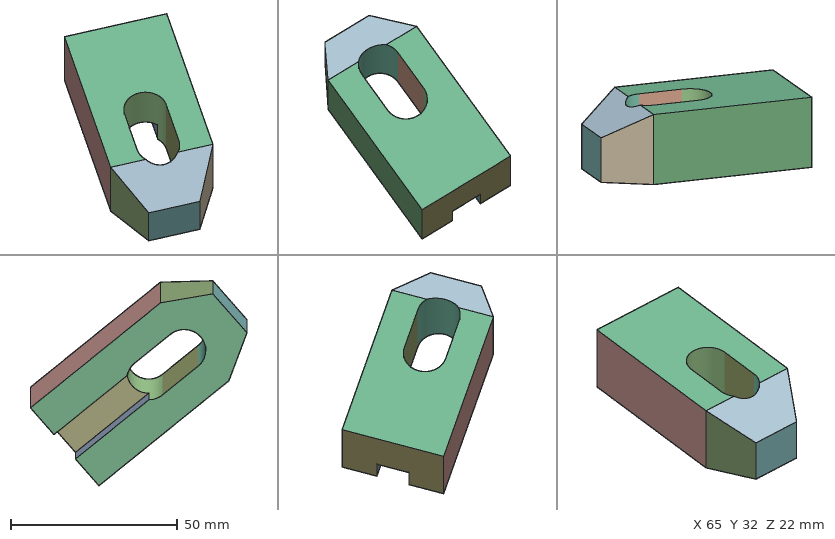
import cadquery as cq
import math

length = 65.0
width = 32.0
height = 22.0

nose_length = 13.85
nose_angle = math.radians(30)
nose_setback = nose_length * math.tan(nose_angle)
nose_start = length - nose_length

slot_start = 26.5
slot_length = 27.0
slot_width = 13.0
slot_center = slot_start + slot_length / 2

groove_width = 10.0
groove_depth = 7.0


def make_body():
    """Side profile with a sloped nose top, trimmed to the tapered plan outline."""
    side = (
        cq.Workplane("XZ")
        .polyline([
            (0, 0),
            (length, 0),
            (length, height - nose_setback),
            (nose_start, height),
            (0, height),
        ])
        .close()
        .extrude(width / 2, both=True)
    )
    tip_half_width = width / 2 - nose_setback
    plan = (
        cq.Workplane("XY")
        .polyline([
            (0, -width / 2),
            (nose_start, -width / 2),
            (length, -tip_half_width),
            (length, tip_half_width),
            (nose_start, width / 2),
            (0, width / 2),
        ])
        .close()
        .extrude(height)
    )
    return side.intersect(plan)


def make_bolt_slot():
    return cq.Workplane("XY").center(slot_center, 0).slot2D(slot_length, slot_width).extrude(height)


def make_base_groove():
    return cq.Workplane("XY").box(slot_center, groove_width, groove_depth, centered=(False, True, False))


result = make_body().cut(make_bolt_slot()).cut(make_base_groove())